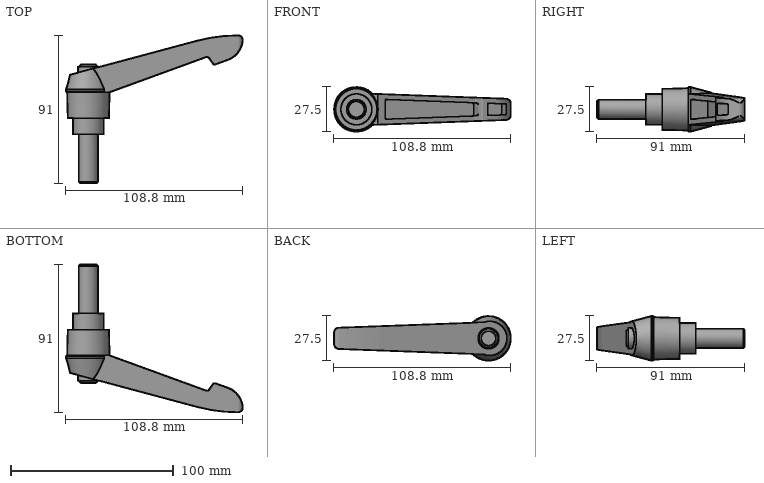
import cadquery as cq
import math


stud_radius = 12 / 2
stud_end_y = -56.0
stud_chamfer = 1.1
collar_radius = 19.0 / 2
collar_end_y = -25.9
sleeve_top_radius = 13.2
sleeve_bottom_radius = 12.7
sleeve_end_y = -15.9

rim_radius = 27.5 / 2
rim_base_radius = 13.3
rim_bottom_y = 0.5
rim_top_y = 1.7
cone_start_radius = 13.6
cone_start_y = 2.2
cone_height = 19.6
cone_angle = math.radians(15)

button_radius = 6.4
button_shoulder_radius = 5.9
button_crown_radius = 4.5
button_shoulder_y = 15.7
button_top_y = 17.1

upper_angle = math.radians(15)
upper_slope = math.tan(upper_angle)
under_angle = math.radians(20)
under_slope = math.tan(under_angle)
upper_y_at_axis = 13.8
under_start_x = 13.2
crest_y = 35.0
nose_radius = 3.2
notch_x = 73.4
lip_x = 77.2
lip_y = 16.7
lip_end_x = 85.3
belly_x = 92.0
belly_y = 24.5
tip_x = 108.8 - rim_radius
tip_y = crest_y - nose_radius
crest_x = tip_x - nose_radius
notch_fillet = 1.1
tip_corner_radius = 3.3

half_width_at_axis = 10.0
half_width_slope = 0.037

pocket_wall = 3.3
pocket_floor_depth = 5.4
main_pocket_start_x = 17.7
main_pocket_end_x = 74.9
main_pocket_end_y = 19.9
tip_pocket_start_x = 80.7
tip_pocket_end_x = 92.2
tip_pocket_end_y = 24.7
pocket_corner_radius = 1.1


def upper_y(x):
    """Height of the sloping upper face at x."""
    return upper_y_at_axis + upper_slope * x


def under_y(x):
    """Height of the underside between the head and the notch."""
    return under_slope * (x - under_start_x)


def lip_under_y(x):
    """Height of the lower face beyond the notch."""
    return lip_y + under_slope * (x - lip_x)


def half_width(x):
    return half_width_at_axis - half_width_slope * x


def extrude_across(outline):
    """Extrude a closed XY outline equally to both sides of Z = 0."""
    return outline.extrude(2 * rim_radius, both=True)


def plan_prism(start_x, end_x, inset):
    """Tapered prism along Y, lying inside the arm sides by inset."""
    start_half = half_width(start_x) - inset
    end_half = half_width(end_x) - inset
    outline = [
        (start_x, -start_half),
        (end_x, -end_half),
        (end_x, end_half),
        (start_x, start_half),
    ]
    return cq.Workplane("XZ").polyline(outline).close().extrude(2 * crest_y, both=True)


def revolve_about_axis(points):
    """Revolve an (X, Y) half section about the clamping axis."""
    section = cq.Workplane("XY").polyline(points).close()
    return section.revolve(360, (0, 0, 0), (0, 1, 0))


def make_base():
    return revolve_about_axis([
        (0, 0),
        (sleeve_top_radius, 0),
        (sleeve_bottom_radius, sleeve_end_y),
        (collar_radius, sleeve_end_y),
        (collar_radius, collar_end_y),
        (stud_radius, collar_end_y),
        (stud_radius, stud_end_y + stud_chamfer),
        (stud_radius - stud_chamfer, stud_end_y),
        (0, stud_end_y),
    ])


def make_head():
    cone_top_radius = cone_start_radius - cone_height * math.tan(cone_angle)
    cone_top_y = cone_start_y + cone_height
    cone = revolve_about_axis([
        (0, 0),
        (rim_base_radius, 0),
        (rim_radius, rim_bottom_y),
        (rim_radius, rim_top_y),
        (cone_start_radius, cone_start_y),
        (cone_top_radius, cone_top_y),
        (0, cone_top_y),
    ])
    below_upper_face = extrude_across(
        cq.Workplane("XY").polyline([
            (-rim_radius, 0),
            (rim_radius, 0),
            (rim_radius, upper_y(rim_radius)),
            (-rim_radius, upper_y(-rim_radius)),
        ]).close()
    )
    return cone.intersect(below_upper_face)


def make_button():
    return revolve_about_axis([
        (0, 0),
        (button_radius, 0),
        (button_radius, button_shoulder_y),
        (button_shoulder_radius, button_shoulder_y),
        (button_crown_radius, button_top_y),
        (0, button_top_y),
    ])


def make_arm():
    tangent_meeting_x = (crest_y - upper_y_at_axis) / upper_slope
    crest_arc_start_x = tangent_meeting_x - (crest_x - tangent_meeting_x) * math.cos(upper_angle)
    outline = (
        cq.Workplane("XY")
        .moveTo(0, 0)
        .lineTo(0, upper_y_at_axis)
        .lineTo(crest_arc_start_x, upper_y(crest_arc_start_x))
        .tangentArcPoint((crest_x, crest_y), relative=False)
        .tangentArcPoint((tip_x, tip_y), relative=False)
        .threePointArc((belly_x, belly_y), (lip_end_x, lip_under_y(lip_end_x)))
        .lineTo(lip_x, lip_y)
        .lineTo(notch_x, under_y(notch_x))
        .lineTo(under_start_x, 0)
        .close()
    )
    side_solid = extrude_across(outline)
    for x, y in [(notch_x, under_y(notch_x)), (lip_x, lip_y)]:
        corner = cq.selectors.NearestToPointSelector((x, y, 0))
        side_solid = side_solid.edges("|Z").edges(corner).fillet(notch_fillet)
    plan = plan_prism(0, tip_x, 0).edges("|Y and >X").fillet(tip_corner_radius)
    return side_solid.intersect(plan)


def make_pocket(start, end):
    """Pocket with end walls square to the underside and a floor parallel to the upper face."""
    floor_y_at_axis = upper_y_at_axis - pocket_floor_depth

    def along_wall(point, y_change):
        return (point[0] - under_slope * y_change, point[1] + y_change)

    def floor_point(point):
        rise = (floor_y_at_axis + upper_slope * point[0] - point[1]) / (1 + upper_slope * under_slope)
        return along_wall(point, rise)

    outline = [
        along_wall(start, -crest_y),
        along_wall(end, -crest_y),
        floor_point(end),
        floor_point(start),
    ]
    block = extrude_across(cq.Workplane("XY").polyline(outline).close())
    sides = plan_prism(0, 2 * tip_x, pocket_wall)
    pocket = block.intersect(sides)
    end_walls = cq.Vector(math.cos(under_angle), math.sin(under_angle), 0)
    corners = [
        edge
        for face in pocket.faces().vals()
        if abs(face.normalAt().dot(end_walls)) > math.cos(math.radians(1))
        for edge in face.Edges()
        if abs(edge.tangentAt(0).z) < abs(edge.tangentAt(0).y)
    ]
    return pocket.newObject(corners).fillet(pocket_corner_radius)


main_pocket = make_pocket(
    (main_pocket_start_x, under_y(main_pocket_start_x)),
    (main_pocket_end_x, main_pocket_end_y),
)
tip_pocket = make_pocket(
    (tip_pocket_start_x, lip_under_y(tip_pocket_start_x)),
    (tip_pocket_end_x, tip_pocket_end_y),
)

arm = make_arm().cut(main_pocket).cut(tip_pocket)
result = make_base().union(make_head()).union(make_button()).union(arm)